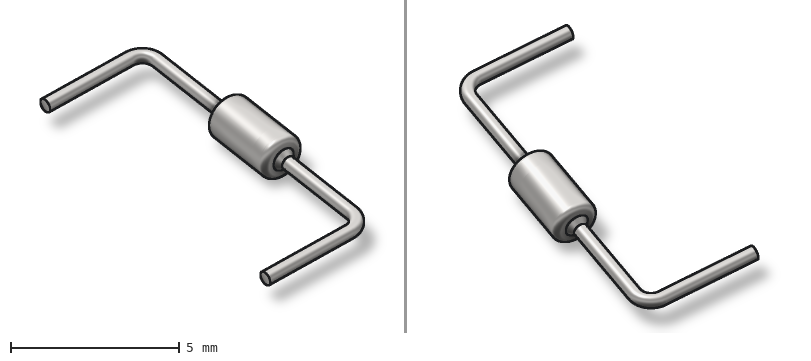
import cadquery as cq

lead_diameter = 0.46
lead_pitch = 10.16
leg_reach = 3.865
bend_radius = 0.6

body_diameter = 1.53
body_length = 2.67
body_edge_radius = 0.2

collar_length = 0.2
collar_base_radius = 0.39

band_start = 0.685
band_end = 1.07

body_radius = body_diameter / 2
lead_radius = lead_diameter / 2
half_length = body_length / 2
half_pitch = lead_pitch / 2
edge_start = half_length - body_edge_radius
collar_tip = half_length + collar_length


def make_body():
    """Body and both collars, turned about X; the band edges split the cylinder face."""
    round_drop = body_edge_radius * (1 - 0.5 ** 0.5)
    round_mid_x = half_length - round_drop
    round_mid_z = body_radius - round_drop
    end_face_radius = body_radius - body_edge_radius
    profile = (
        cq.Workplane("XZ")
        .moveTo(-collar_tip, 0)
        .lineTo(-collar_tip, lead_radius)
        .lineTo(-half_length, collar_base_radius)
        .lineTo(-half_length, end_face_radius)
        .threePointArc((-round_mid_x, round_mid_z), (-edge_start, body_radius))
        .lineTo(band_start, body_radius)
        .lineTo(band_end, body_radius)
        .lineTo(edge_start, body_radius)
        .threePointArc((round_mid_x, round_mid_z), (half_length, end_face_radius))
        .lineTo(half_length, collar_base_radius)
        .lineTo(collar_tip, lead_radius)
        .lineTo(collar_tip, 0)
        .close()
    )
    return profile.revolve(360, (0, 0, 0), (1, 0, 0), clean=False)


def make_lead():
    """One continuous wire: leg, bend, straight run through the body, bend, leg."""
    bend_start = half_pitch - bend_radius
    path = (
        cq.Workplane("XY")
        .moveTo(-half_pitch, -leg_reach)
        .lineTo(-half_pitch, -bend_radius)
        .radiusArc((-bend_start, 0), bend_radius)
        .lineTo(bend_start, 0)
        .radiusArc((half_pitch, -bend_radius), bend_radius)
        .lineTo(half_pitch, -leg_reach)
    )
    section = cq.Workplane("XZ", origin=(-half_pitch, -leg_reach, 0)).circle(lead_radius)
    return section.sweep(path)


result = make_body().union(make_lead(), clean=False)